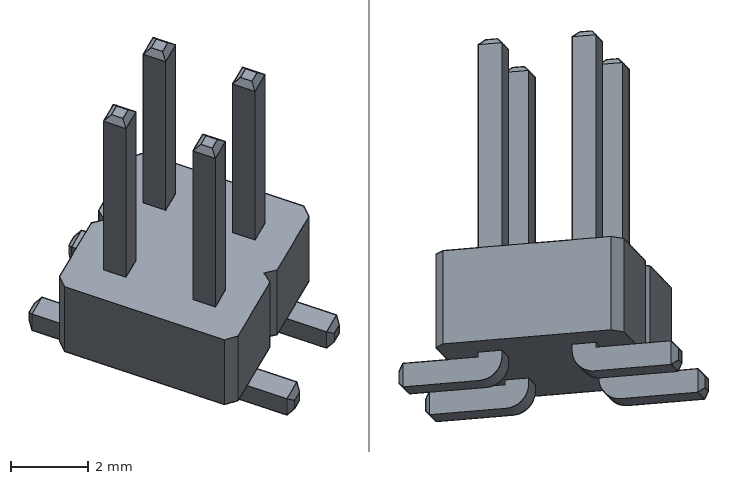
import cadquery as cq

pitch = 2.54
pin_width = 0.64
pin_half = pin_width / 2
total_height = 9.3
total_span = 7.54

body_side = 2 * pitch
body_height = 2.54
standoff = 0.77
corner_chamfer = 0.27
notch_depth = 0.27
notch_half_width = 0.23

tip_inset = 0.16
post_tip_length = 0.17
foot_tip_length = 0.15
bend_radius = 0.6


def make_body():
    """Square block with chamfered corners and a V notch between the rows on each side."""
    block = (
        cq.Workplane("XY", origin=(0, 0, standoff))
        .rect(body_side, body_side)
        .extrude(body_height)
        .edges("|Z")
        .chamfer(corner_chamfer)
    )
    for side in (-1, 1):
        face_x = side * body_side / 2
        notch = (
            cq.Workplane("XY", origin=(0, 0, standoff))
            .moveTo(face_x, -notch_half_width)
            .lineTo(face_x - side * notch_depth, 0)
            .lineTo(face_x, notch_half_width)
            .close()
            .extrude(body_height)
        )
        block = block.cut(notch)
    return block


def make_tip(base_plane, length):
    """Square pyramid frustum tapering from the pin section to a small end face."""
    end_width = pin_width - 2 * tip_inset
    return (
        base_plane.rect(pin_width, pin_width)
        .workplane(offset=length)
        .rect(end_width, end_width)
        .loft(ruled=True)
    )


def make_pin():
    """L-shaped square pin on the +X side at Y = 0, its foot resting on Z = 0."""
    inner_x = pitch / 2 - pin_half
    outer_x = pitch / 2 + pin_half
    foot_end = total_span / 2
    foot_tip_start = foot_end - foot_tip_length
    post_tip_start = total_height - post_tip_length
    bar = (
        cq.Workplane("XZ")
        .moveTo(inner_x, post_tip_start)
        .lineTo(inner_x, bend_radius)
        .radiusArc((inner_x + bend_radius, 0), -bend_radius)
        .lineTo(foot_tip_start, 0)
        .lineTo(foot_tip_start, pin_width)
        .lineTo(outer_x, pin_width)
        .lineTo(outer_x, post_tip_start)
        .close()
        .extrude(pin_half, both=True)
    )
    post_plane = cq.Workplane("XY", origin=(pitch / 2, 0, post_tip_start))
    foot_plane = cq.Workplane("YZ", origin=(foot_tip_start, 0, pin_half))
    post_tip = make_tip(post_plane, post_tip_length)
    foot_tip = make_tip(foot_plane, foot_tip_length)
    return bar.union(post_tip).union(foot_tip)


result = make_body()
right_pin = make_pin()
left_pin = right_pin.mirror("YZ")
for row_y in (-pitch / 2, pitch / 2):
    for pin in (left_pin, right_pin):
        result = result.union(pin.translate((0, row_y, 0)))